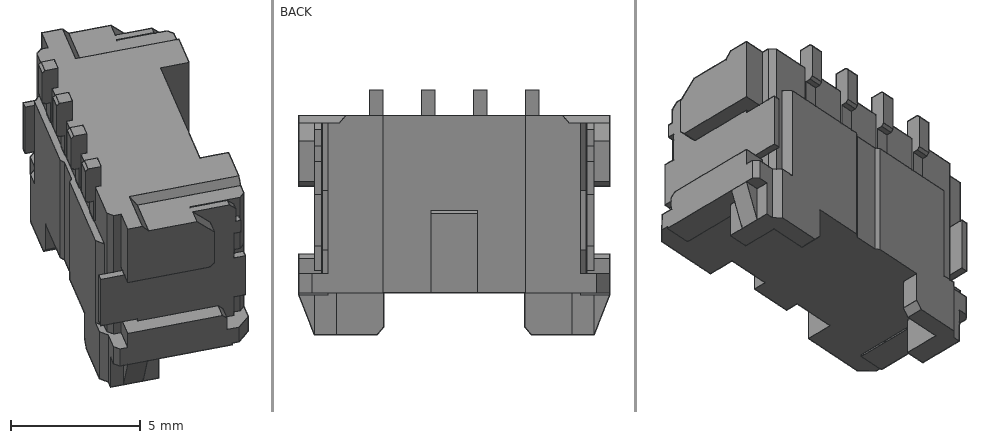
import cadquery as cq


WIDTH = 12.0
DEPTH = 5.9
HALF = WIDTH / 2

CORE_HALF = 5.09
CORE_FRONT = 0.4
CORE_BOTTOM = 1.62
CORE_TOP = 8.47
CORE_CHAMFER = 0.22
BACK_NOTCH_HALF = 2.75
BACK_NOTCH_FLOOR = 4.75

LATCH_HALF = 0.9
LATCH_BACK = 5.32
LATCH_TOP = 4.8
LATCH_CHAMFER = 0.12

PANEL_FRONT = 0.12
PANEL_TOP = 6.61
PANEL_HALF = 4.54
PANEL_CHAMFER = 0.29
SHELF = 2.41
GROOVE_HALF = 0.66
GROOVE_FLOOR_HALF = 0.49
GROOVE_FLOOR = 0.24

LEG_INNER = 2.71
LEG_WALL_BACK = 0.83
LEG_SIDE_INNER = 4.54
LEG_BACK = 2.34
LEG_CHAMFER = 0.26
LEG_CHAMFER_HEIGHT = 0.31
RIB_BACK = 1.7

WING_FRONT = 0.91
WING_BOTTOM = 1.54
LOWER_WING_TOP = 3.13
LOWER_WING_BACK = 4.91
LOWER_WING_CHAMFER = 0.19
LOWER_BACK_TOP = 2.38
LOWER_BACK_STEP = 5.11
FRONT_CORNER = 0.2
BACK_CORNER = 0.52
UPPER_WING_BOTTOM = 5.74
UPPER_WING_BACK = 4.4
UPPER_WING_CHAMFER = 0.19
UPPER_WING_BEVEL_TOP_Y = 3.41

RECESS_FLOOR = 8.18
RECESS_INNER = 4.18
RECESS_SLOPE = 0.25
RECESS_FRONT_LEFT = 1.75
RECESS_FRONT_RIGHT = 1.5

PLATE_INNER = 5.12
PLATE_OUTER = 5.4
PLATE_BACK = 5.35
PLATE_BOTTOM = 2.48
TAB_BACK = 5.82
TAB_BOTTOM = 3.43
TAB_TOP = 5.42
LUG_BACK = 5.63
LUG_BOTTOM = 6.68
LUG_TOP = 7.28
SHOULDER_BACK = 5.42
SHOULDER_CHAMFER = 0.25
REAR_GAP_START = 3.67
FOOT_BOTTOM = 3.24
FOOT_TOP = 5.62
FOOT_BACK = 1.48

POCKET_FRONT = 5.46
POCKET_BOTTOM = 3.28
POCKET_TOP = 5.57

PIN_COUNT = 4
PIN_PITCH = 2.0
PIN_WIDTH = 0.53
PIN_BACK = 0.64
PIN_TOP = 9.45
PIN_STEP = 7.75
PIN_CHAMFER = 0.11
PIN_TAIL_FRONT = 0.32
PIN_TAIL_BOTTOM = 6.75


def block(x0, x1, y0, y1, z0, z1):
    """Box between two opposite corners."""
    return cq.Workplane("XY").box(x1 - x0, y1 - y0, z1 - z0, centered=False).translate((x0, y0, z0))


def upright(points, z0, z1):
    """Plan outline (x, y) raised from z0 to z1."""
    return cq.Workplane("XY").workplane(offset=z0).polyline(points).close().extrude(z1 - z0)


def side_profile(points, x0, x1):
    """Side outline (y, z) swept from x0 to x1."""
    return cq.Workplane("YZ").workplane(offset=x0).polyline(points).close().extrude(x1 - x0)


def front_profile(points, y0, y1):
    """Front outline (x, z) swept from y0 back to y1."""
    return cq.Workplane("XZ", origin=(0, y0, 0)).polyline(points).close().extrude(y0 - y1)


def mirrored(shape):
    """Shape together with its copy on the opposite side of X = 0."""
    return shape.union(shape.mirror("YZ"))


def chamfered_panel(half, z0, z1):
    """Front panel with both vertical edges bevelled back to the core."""
    flat = half - PANEL_CHAMFER
    points = [(-half, CORE_FRONT), (-flat, PANEL_FRONT), (flat, PANEL_FRONT), (half, CORE_FRONT)]
    behind = CORE_FRONT + PANEL_CHAMFER
    return upright(points + [(half, behind), (-half, behind)], z0, z1)


def make_core():
    core = block(-CORE_HALF, CORE_HALF, CORE_FRONT, DEPTH, CORE_BOTTOM, CORE_TOP)
    core = core.edges("|Z").chamfer(CORE_CHAMFER)
    back_notch = block(-BACK_NOTCH_HALF, BACK_NOTCH_HALF, BACK_NOTCH_FLOOR, DEPTH, CORE_BOTTOM, CORE_TOP)
    pocket = block(CORE_HALF - CORE_CHAMFER, CORE_HALF, POCKET_FRONT, DEPTH, POCKET_BOTTOM, POCKET_TOP)
    latch = block(-LATCH_HALF, LATCH_HALF, BACK_NOTCH_FLOOR, LATCH_BACK, CORE_BOTTOM, LATCH_TOP)
    latch = latch.edges(">Y and >Z").chamfer(LATCH_CHAMFER)
    return core.cut(back_notch).cut(mirrored(pocket)).union(latch)


def make_front_panel():
    panel = chamfered_panel(PANEL_HALF, SHELF, PANEL_TOP)
    return panel.union(chamfered_panel(CORE_HALF, CORE_BOTTOM, SHELF))


def make_groove():
    points = [
        (-GROOVE_HALF, PANEL_FRONT),
        (-GROOVE_FLOOR_HALF, GROOVE_FLOOR),
        (GROOVE_FLOOR_HALF, GROOVE_FLOOR),
        (GROOVE_HALF, PANEL_FRONT),
    ]
    return upright(points, CORE_BOTTOM, PANEL_TOP)


def make_leg():
    """Right leg: front wall with a bevelled toe, side wall behind it and a tapered outer rib."""
    plan = [
        (LEG_INNER, PANEL_FRONT),
        (CORE_HALF - PANEL_CHAMFER, PANEL_FRONT),
        (CORE_HALF, CORE_FRONT),
        (PLATE_OUTER, CORE_FRONT),
        (PLATE_OUTER, LEG_BACK),
        (LEG_SIDE_INNER, LEG_BACK),
        (LEG_SIDE_INNER, LEG_WALL_BACK),
        (LEG_INNER, LEG_WALL_BACK),
    ]
    leg = upright(plan, 0, CORE_BOTTOM)
    toe = front_profile(
        [(LEG_INNER, 0), (LEG_INNER + LEG_CHAMFER, 0), (LEG_INNER, LEG_CHAMFER_HEIGHT)],
        PANEL_FRONT,
        LEG_WALL_BACK,
    )
    rib = front_profile(
        [(PLATE_OUTER, 0), (HALF, WING_BOTTOM), (PLATE_OUTER, WING_BOTTOM)],
        WING_FRONT,
        RIB_BACK,
    )
    return leg.cut(toe).union(rib)


def make_lower_wing():
    """Right lower wing: a bevelled base with a narrower rail on top."""
    plan = [
        (CORE_HALF - CORE_CHAMFER, CORE_FRONT + CORE_CHAMFER),
        (CORE_HALF, CORE_FRONT),
        (HALF - FRONT_CORNER, CORE_FRONT),
        (HALF, CORE_FRONT + FRONT_CORNER),
        (HALF, DEPTH - BACK_CORNER),
        (HALF - BACK_CORNER, DEPTH),
        (CORE_HALF - CORE_CHAMFER, DEPTH),
    ]
    base = upright(plan, WING_BOTTOM, LOWER_BACK_TOP)
    base = base.cut(block(0, HALF, LOWER_BACK_STEP, DEPTH, WING_BOTTOM, CORE_BOTTOM))
    front_step = block(CORE_HALF, HALF, CORE_FRONT, WING_FRONT, LOWER_BACK_TOP, SHELF)
    front_step = front_step.edges("|Z and >X and <Y").chamfer(FRONT_CORNER)
    rail = block(CORE_HALF, HALF, WING_FRONT, LOWER_WING_BACK, LOWER_BACK_TOP, LOWER_WING_TOP)
    rail = rail.edges(">Y and >Z").chamfer(LOWER_WING_CHAMFER)
    return base.union(front_step).union(rail)


def make_upper_wing():
    bevel_bottom = CORE_TOP - (UPPER_WING_BACK - UPPER_WING_BEVEL_TOP_Y)
    points = [
        (WING_FRONT, UPPER_WING_BOTTOM),
        (UPPER_WING_BACK - UPPER_WING_CHAMFER, UPPER_WING_BOTTOM),
        (UPPER_WING_BACK, UPPER_WING_BOTTOM + UPPER_WING_CHAMFER),
        (UPPER_WING_BACK, bevel_bottom),
        (UPPER_WING_BEVEL_TOP_Y, CORE_TOP),
        (WING_FRONT, CORE_TOP),
    ]
    return side_profile(points, CORE_HALF, HALF)


def make_side_plate():
    """Right plate: stepped rear edge, a web to the core, and a solder foot at the front."""
    rear_edge = [
        (PLATE_BACK, PLATE_BOTTOM),
        (PLATE_BACK, TAB_BOTTOM),
        (TAB_BACK, TAB_BOTTOM),
        (TAB_BACK, TAB_TOP),
        (PLATE_BACK, TAB_TOP),
        (PLATE_BACK, LUG_BOTTOM),
        (LUG_BACK, LUG_BOTTOM),
        (LUG_BACK, LUG_TOP),
        (SHOULDER_BACK, LUG_TOP),
        (SHOULDER_BACK, RECESS_FLOOR - SHOULDER_CHAMFER),
        (SHOULDER_BACK - SHOULDER_CHAMFER, RECESS_FLOOR),
    ]
    outline = [(FOOT_BACK, PLATE_BOTTOM)] + rear_edge + [(FOOT_BACK, RECESS_FLOOR)]
    sheet = side_profile(outline, PLATE_INNER, PLATE_OUTER)
    web = block(CORE_HALF, PLATE_OUTER, FOOT_BACK, REAR_GAP_START, LOWER_WING_TOP, UPPER_WING_BOTTOM)
    foot = block(PLATE_INNER, PLATE_OUTER, 0, FOOT_BACK, FOOT_BOTTOM, FOOT_TOP)
    return sheet.union(web).union(foot)


def make_rear_gap():
    """Thin clearance between the core and the rear part of the right plate."""
    return block(CORE_HALF, PLATE_INNER, REAR_GAP_START, DEPTH, LOWER_BACK_TOP, CORE_TOP)


def make_top_recess(front):
    """Right top recess whose inner and front walls slope; front is the rim of the front wall."""
    floor_x = RECESS_INNER + RECESS_SLOPE
    floor_y = front + RECESS_SLOPE
    end_x = HALF + RECESS_SLOPE
    end_y = DEPTH + RECESS_SLOPE
    floor = [(floor_x, floor_y), (end_x, floor_y), (end_x, end_y), (floor_x, end_y)]
    rim = [(RECESS_INNER, front), (end_x, front), (end_x, end_y), (RECESS_INNER, end_y)]
    sections = cq.Workplane("XY").workplane(offset=RECESS_FLOOR).polyline(floor).close()
    sections = sections.workplane(offset=CORE_TOP - RECESS_FLOOR).polyline(rim).close()
    return sections.loft(ruled=True)


def make_pin(x):
    left = x - PIN_WIDTH / 2
    right = x + PIN_WIDTH / 2
    head = block(left, right, 0, PIN_BACK, PIN_STEP, PIN_TOP).edges("<Y and |X").chamfer(PIN_CHAMFER)
    tail = block(left, right, PIN_TAIL_FRONT, PIN_BACK, PIN_TAIL_BOTTOM, PIN_STEP)
    return head.union(tail)


wing = make_lower_wing().union(make_upper_wing()).union(make_side_plate()).cut(make_rear_gap())

result = make_core().union(make_front_panel()).union(mirrored(make_leg())).union(mirrored(wing))
result = result.cut(make_groove())
result = result.cut(make_top_recess(RECESS_FRONT_RIGHT))
result = result.cut(make_top_recess(RECESS_FRONT_LEFT).mirror("YZ"))

for index in range(PIN_COUNT):
    result = result.union(make_pin((index - (PIN_COUNT - 1) / 2) * PIN_PITCH))